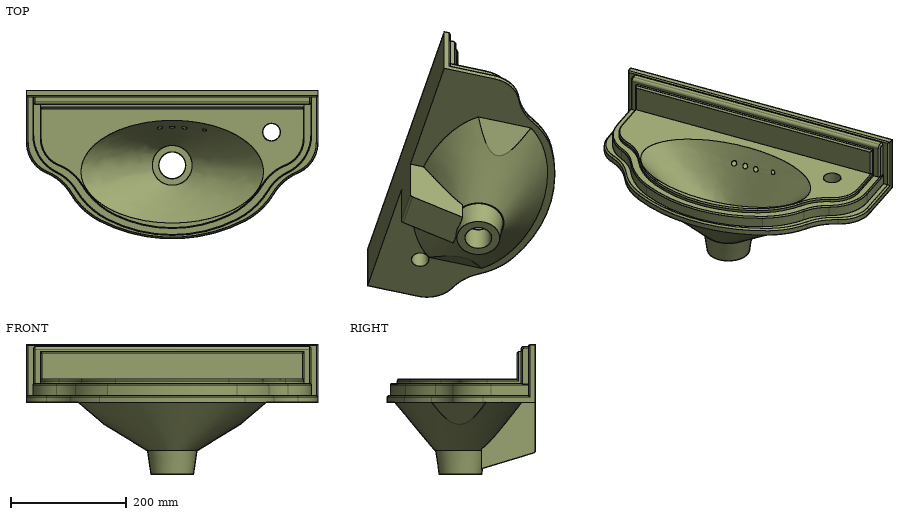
import cadquery as cq
import math


half_length = 252.5
projection = 257.43
backsplash_height = 100.0
overall_height = 225.0

edge_chamfer = 3.0
deck_top_z = 40.0
base_moulding = dict(
    deck_side_x=half_length, deck_front=projection, deck_top=12.0, deck_drop=3.0,
    belly=(274.4, 27.3), shoulder=(125.4, 31.8), hollow=(89.6, 36.1),
    panel_side_x=half_length, panel_front=12.0, panel_top=backsplash_height, panel_drop=1.5,
)
middle_moulding = dict(
    deck_side_x=half_length - 11.0, deck_front=projection - 6.0, deck_top=32.5, deck_drop=1.5,
    belly=(247.3, 26.9), shoulder=(137.2, 32.0), hollow=(79.2, 33.0),
    panel_side_x=half_length - 12.0, panel_front=25.0, panel_top=97.0, panel_round=5.5,
)
top_moulding = dict(
    deck_side_x=half_length - 24.0, deck_front=projection - 18.0, deck_top=deck_top_z, deck_drop=1.5,
    belly=(228.0, 25.6), shoulder=(139.0, 33.2), hollow=(80.5, 37.2),
    panel_side_x=half_length - 24.0, panel_front=32.0, panel_top=88.0, panel_drop=3.0,
)

bowl_center_y = -141.0
bowl_half_length = 158.0
bowl_half_width = 89.0
bowl_floor_z = -74.0
bowl_floor_radius = 34.5

shell_center_y = -133.0
shell_half_length = 180.0
shell_half_width = 111.0
shell_bottom_z = -83.5
shell_bottom_radius = 44.5
flat_high_x = 163.0
flat_low_x = 108.0
flat_low_z = -46.7

drain_y = -130.0
drain_hole_radius = 23.0
spigot_top_radius = 43.0
spigot_bottom_radius = 37.0
spigot_bottom_z = backsplash_height - overall_height

web_half_thickness = 30.0
web_rear_z = -87.0
web_front_y = -93.5
web_slope = 0.303
web_corner_radius = 5.0

tap_x = 172.0
tap_y = -72.5
tap_radius = 15.0
overflow_z = 8.5
overflow_radius = 4.5
overflow_pitch = 21.0
overflow_end_y = -52.0
side_overflow_x = 56.0
side_overflow_z = 15.0
side_overflow_radius = 3.5


def arc_points(start, heading, radius, turn):
    """Middle and end point of an arc that leaves start at heading and turns by turn (radians)."""
    side = math.copysign(math.pi / 2, turn)
    center_x = start[0] + radius * math.cos(heading + side)
    center_y = start[1] + radius * math.sin(heading + side)

    def on_arc(part):
        angle = heading - side + part * turn
        return (center_x + radius * math.cos(angle), center_y + radius * math.sin(angle))

    return on_arc(0.5), on_arc(1.0)


def front_edge(moulding):
    """(middle, end) points of the arcs from the middle of the front edge to the left side."""
    point = (0.0, -moulding["deck_front"])
    heading = math.pi
    arcs = []
    for name, direction in (("belly", -1), ("shoulder", -1), ("hollow", 1)):
        radius, degrees = moulding[name]
        turn = direction * math.radians(degrees)
        middle, point = arc_points(point, heading, radius, turn)
        arcs.append((middle, point))
        heading += turn
    corner_turn = math.pi / 2 - heading
    corner_radius = (point[0] + moulding["deck_side_x"]) / (1 - math.cos(corner_turn))
    arcs.append(arc_points(point, heading, corner_radius, corner_turn))
    return arcs


def deck_layer(moulding):
    """Deck slab with a serpentine front edge, chamfered along its top."""
    side_x = moulding["deck_side_x"]
    left_half = cq.Workplane("XY").moveTo(0, -moulding["deck_front"])
    for middle, end in front_edge(moulding):
        left_half = left_half.threePointArc(middle, end)
    left_half = left_half.lineTo(-side_x, 0).lineTo(0, 0).close().extrude(moulding["deck_top"])
    slab = left_half.union(left_half.mirror("YZ")).clean()
    rim = slab.faces(">Z").edges("not >Y").vals()
    return cq.Workplane(slab.val().chamfer(moulding["deck_drop"], edge_chamfer, rim))


def backsplash_layer(moulding):
    """Upright panel on the wall, chamfered down its sides and chamfered or rounded along its top."""
    front_y = -moulding["panel_front"]
    top_z = moulding["panel_top"]
    profile = cq.Workplane("YZ").lineTo(0, top_z)
    if "panel_round" in moulding:
        radius = moulding["panel_round"]
        profile = profile.lineTo(front_y + radius, top_z).radiusArc((front_y, top_z - radius), -radius)
    else:
        profile = profile.lineTo(front_y + edge_chamfer, top_z).lineTo(front_y, top_z - moulding["panel_drop"])
    panel = profile.lineTo(front_y, 0).close().extrude(moulding["panel_side_x"], both=True)
    return panel.edges("|Z and <Y").chamfer(edge_chamfer)


def funnel(top_z, center_y, half_length, half_width, bottom_z, bottom_radius):
    """Body narrowing from an ellipse at top_z to a circle around the drain axis at bottom_z."""
    return (
        cq.Workplane("XY", origin=(0, center_y, top_z))
        .ellipse(half_length, half_width)
        .workplane(offset=bottom_z - top_z)
        .center(0, drain_y - center_y)
        .circle(bottom_radius)
        .loft(ruled=True)
    )


def shell():
    """Outside of the bowl, with both ends cut to sloping flats."""
    slope = (flat_high_x - flat_low_x) / -flat_low_z
    bottom_x = flat_high_x + slope * shell_bottom_z
    between_flats = (
        cq.Workplane("XZ")
        .polyline([
            (-flat_high_x, 0),
            (flat_high_x, 0),
            (bottom_x, shell_bottom_z),
            (-bottom_x, shell_bottom_z),
        ])
        .close()
        .extrude(projection)
    )
    return funnel(
        0, shell_center_y, shell_half_length, shell_half_width, shell_bottom_z, shell_bottom_radius
    ).intersect(between_flats)


def spigot():
    """Tapered drain outlet."""
    return (
        cq.Workplane("XY", origin=(0, drain_y, shell_bottom_z))
        .circle(spigot_top_radius)
        .workplane(offset=spigot_bottom_z - shell_bottom_z)
        .circle(spigot_bottom_radius)
        .loft()
    )


def web():
    """Upright web from the wall to the spigot, rounded at its lower rear corner."""
    front_z = web_rear_z + web_slope * web_front_y
    return (
        cq.Workplane("YZ")
        .polyline([(0, 0), (web_front_y, 0), (web_front_y, front_z), (0, web_rear_z)])
        .close()
        .extrude(web_half_thickness, both=True)
        .edges("|X and >Y")
        .edges("<Z")
        .fillet(web_corner_radius)
    )


def bowl():
    """Hollow of the bowl."""
    return funnel(
        deck_top_z, bowl_center_y, bowl_half_length, bowl_half_width, bowl_floor_z, bowl_floor_radius
    )


def upright_hole(x, y, radius):
    """Round hole through the full height."""
    return cq.Workplane("XY", origin=(x, y, spigot_bottom_z)).circle(radius).extrude(overall_height)


def overflow_hole(x, z, radius):
    """Level hole from above the drain into the rear wall of the bowl."""
    return cq.Workplane("XZ", origin=(x, overflow_end_y, z)).circle(radius).extrude(
        overflow_end_y - drain_y
    )


result = shell().union(spigot()).union(web())
for moulding in (base_moulding, middle_moulding, top_moulding):
    result = result.union(deck_layer(moulding)).union(backsplash_layer(moulding))
result = result.cut(bowl())
result = result.cut(upright_hole(0, drain_y, drain_hole_radius))
result = result.cut(upright_hole(tap_x, tap_y, tap_radius))
for x in (-overflow_pitch, 0, overflow_pitch):
    result = result.cut(overflow_hole(x, overflow_z, overflow_radius))
result = result.cut(overflow_hole(side_overflow_x, side_overflow_z, side_overflow_radius))